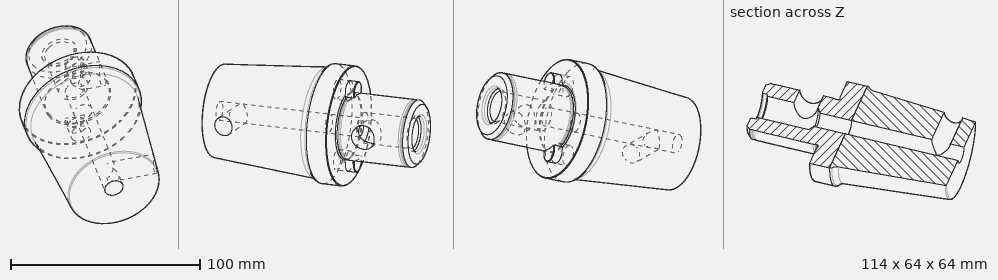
import cadquery as cq
import math

total_length = 114.0
flange_face = 40.0
joint_face = 51.4

shank_radius = 18.0
shank_tip_chamfer = 2.2
tip_land_end = 2.5
tip_groove_depth = 0.2
tip_groove_floor_start = 3.3
tip_groove_floor_end = 3.6
tip_groove_end = 4.7

undercut_radius = 17.7
undercut_taper_start = 37.6
undercut_blend_start = 38.6
undercut_blend_height = 0.05
undercut_floor_start = 39.0
undercut_floor_end = 39.7
face_recess_radius = 19.6
face_recess_depth = 0.5

flange_diameter = 64.0
flange_radius = flange_diameter / 2
flange_edge_chamfer = 0.4

shoulder_end = 52.4
shoulder_end_radius = 31.5
cone_start = 55.5
cone_start_radius = 29.8
nose_end_radius = 25.0
nose_edge_rounding = 0.6

through_bore_radius = 5.0
shank_bore_radius = 8.1
shank_bore_end = 31.9
mouth_radius = 9.5
mouth_rounding = 1.0
mouth_end = 2.8
bore_step_half_angle = 59.0

shank_hole_diameter = 13.0
shank_hole_position = 24.9
nose_hole_diameter = 10.3
nose_hole_position = 101.1

drive_pin_diameter = 10.8
drive_pin_offset = 19.4
drive_pin_tip = 35.0
drive_pin_seat_depth = 6.8
drive_pin_chamfer = 0.3


def x_cylinder(radius, start, end, z=0.0):
    """Cylinder parallel to X between two X positions."""
    return cq.Workplane("YZ", origin=(start, 0, z)).circle(radius).extrude(end - start)


def turned(profile):
    """Solid swept by a closed half profile around X."""
    return profile.close().revolve(360, (0, 0, 0), (1, 0, 0))


def radial_hole(position, diameter):
    """Cutter running from the axis outward past the +Y side."""
    cutter = cq.Workplane("XZ", origin=(position, 0, 0)).circle(diameter / 2)
    return cutter.extrude(-flange_radius)


def coupling_blank():
    """Shank with its tip groove and undercut, and the flange behind it."""
    groove_radius = shank_radius - tip_groove_depth
    profile = (
        cq.Workplane("XZ")
        .lineTo(0, shank_radius - shank_tip_chamfer)
        .lineTo(shank_tip_chamfer, shank_radius)
        .lineTo(tip_land_end, shank_radius)
        .lineTo(tip_groove_floor_start, groove_radius)
        .lineTo(tip_groove_floor_end, groove_radius)
        .lineTo(tip_groove_end, shank_radius)
        .lineTo(undercut_taper_start, shank_radius)
        .lineTo(undercut_blend_start, undercut_radius + undercut_blend_height)
        .tangentArcPoint((undercut_floor_start, undercut_radius), relative=False)
        .lineTo(undercut_floor_end, undercut_radius)
        .lineTo(flange_face + face_recess_depth, undercut_radius + face_recess_depth)
        .lineTo(flange_face, face_recess_radius)
        .lineTo(flange_face, flange_radius - flange_edge_chamfer)
        .lineTo(flange_face + flange_edge_chamfer, flange_radius)
        .lineTo(joint_face, flange_radius)
        .lineTo(joint_face, 0)
    )
    return turned(profile)


def bore_step_length(large_radius, small_radius):
    """Axial length of a conical step between two bore radii."""
    return (large_radius - small_radius) / math.tan(math.radians(bore_step_half_angle))


def coupling_bore():
    """Cutter with a rounded mouth, a wide bore and the narrower through bore."""
    shank_bore_start = mouth_end + bore_step_length(mouth_radius, shank_bore_radius)
    through_bore_start = shank_bore_end + bore_step_length(shank_bore_radius, through_bore_radius)
    profile = (
        cq.Workplane("XZ")
        .lineTo(0, mouth_radius + mouth_rounding)
        .radiusArc((mouth_rounding, mouth_radius), -mouth_rounding)
        .lineTo(mouth_end, mouth_radius)
        .lineTo(shank_bore_start, shank_bore_radius)
        .lineTo(shank_bore_end, shank_bore_radius)
        .lineTo(through_bore_start, through_bore_radius)
        .lineTo(joint_face, through_bore_radius)
        .lineTo(joint_face, 0)
    )
    return turned(profile)


def make_drive_pin(side):
    """Round pin seated in the flange and relieved where it stands beside the shank."""
    seat_end = flange_face + drive_pin_seat_depth
    pin = x_cylinder(drive_pin_diameter / 2, drive_pin_tip, seat_end, side * drive_pin_offset)
    pin = pin.faces("<X").chamfer(drive_pin_chamfer)
    return pin.cut(x_cylinder(shank_radius, 0, flange_face))


def make_coupling(pins):
    """Shank and flange with the stepped bore, the radial hole and the pin seats."""
    coupling = coupling_blank().cut(coupling_bore())
    coupling = coupling.cut(radial_hole(shank_hole_position, shank_hole_diameter))
    for pin in pins:
        coupling = coupling.cut(pin)
    return coupling


def make_nose():
    """Tapered nose behind the flange with its through bore and radial hole."""
    shoulder_drop = flange_radius - shoulder_end_radius
    shoulder_length = shoulder_end - joint_face
    shoulder_arc_radius = (shoulder_length**2 + shoulder_drop**2) / (2 * shoulder_drop)
    profile = (
        cq.Workplane("XY")
        .moveTo(joint_face, through_bore_radius)
        .lineTo(joint_face, flange_radius)
        .radiusArc((shoulder_end, shoulder_end_radius), shoulder_arc_radius)
        .tangentArcPoint((cone_start, cone_start_radius), relative=False)
        .lineTo(total_length - nose_edge_rounding, nose_end_radius)
        .radiusArc((total_length, nose_end_radius - nose_edge_rounding), nose_edge_rounding)
        .lineTo(total_length, through_bore_radius)
    )
    return turned(profile).cut(radial_hole(nose_hole_position, nose_hole_diameter))


drive_pins = [make_drive_pin(side) for side in (1, -1)]
coupling = make_coupling(drive_pins)
nose = make_nose()

result = cq.Compound.makeCompound([coupling.val(), nose.val(), *[pin.val() for pin in drive_pins]])